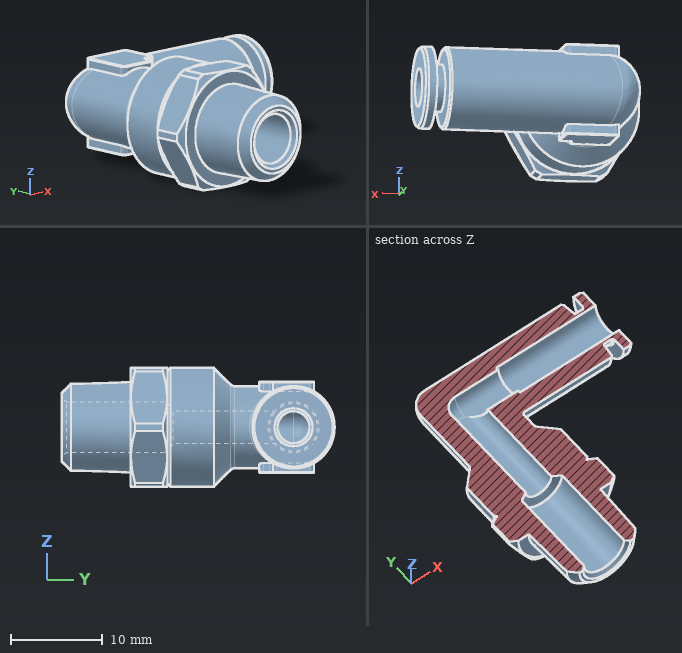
import math

import cadquery as cq


tube_diameter = 9.0
tube_radius = tube_diameter / 2
outer_corner_radius = 2.35
inner_corner_radius = 0.3

pad_half_height = 5.0
pad_outer_reach = 2.25
pad_inner_reach = 3.75
pad_notch_offset = 2.25
pad_corner_radius = 0.45
pad_notch_radius = 0.35
pad_edge_chamfer = 0.1

stem_bottom = -25.3
thread_stub_length = 7.5
hex_bottom = stem_bottom + thread_stub_length
hex_height = 4.05
hex_top = hex_bottom + hex_height
body_diameter = 13.0
body_radius = body_diameter / 2
body_edge_chamfer = 0.3
body_shoulder = -8.7
shoulder_fillet = 0.58
shoulder_angle = math.radians(45)

hex_across_flats = 13.0
hex_corner_diameter = 14.54
hex_face_diameter = 12.8
hex_chamfer_angle = math.radians(30)
hex_half_corner_angle = math.radians(30)

thread_top_diameter = 9.93
thread_taper = 1 / 16
thread_end_chamfer = 1.0

arm_edge = 16.98
arm_edge_chamfer = 0.22
arm_neck_start = 17.2
neck_diameter = 5.2
collar_diameter = 9.0
neck_end_chamfer = 0.17
collar_back = 18.45
collar_end = 19.68
collar_end_chamfer_length = 0.33
collar_end_chamfer_depth = 0.22

bore_diameter = 3.5
stem_bore_diameter = 5.5
stem_bore_end = hex_top
stem_bore_mouth_chamfer = 0.5
bore_step_half_angle = math.radians(59)
tube_socket_diameter = 4.15
tube_socket_start = 6.0


def turned_about_y(points):
    """Revolve an outline of (radius, y) points about the Y axis."""
    outline = cq.Workplane("XY").polyline(points).close()
    return outline.revolve(360, (0, 0, 0), (0, 1, 0))


def turned_about_x(points):
    """Revolve an outline of (x, radius) points about the X axis."""
    outline = cq.Workplane("XY").polyline(points).close()
    return outline.revolve(360, (0, 0, 0), (1, 0, 0))


def make_pad_block():
    """One block through the elbow whose two ends form the raised pads."""
    outline = [
        (-pad_outer_reach, pad_outer_reach),
        (pad_inner_reach, pad_outer_reach),
        (pad_inner_reach, -pad_notch_offset),
        (pad_notch_offset, -pad_notch_offset),
        (pad_notch_offset, -pad_inner_reach),
        (-pad_outer_reach, -pad_inner_reach),
    ]
    block = cq.Workplane("XY").polyline(outline).close().extrude(pad_half_height, both=True)
    notch_corner = (pad_notch_offset, -pad_notch_offset)
    for x, y in outline:
        radius = pad_notch_radius if (x, y) == notch_corner else pad_corner_radius
        upright_edge = cq.selectors.NearestToPointSelector((x, y, 0))
        block = block.edges(upright_edge).fillet(radius)
    return block.faces("<Z or >Z").chamfer(pad_edge_chamfer)


def make_elbow():
    """Mitred round tube with rounded corners and the two pads."""
    arm_length = arm_edge - arm_edge_chamfer
    path = cq.Workplane("XY").polyline([(0, body_shoulder), (0, 0), (arm_length, 0)])
    section = cq.Workplane("XZ", origin=(0, body_shoulder, 0)).circle(tube_radius)
    elbow = section.sweep(path, transition="right")
    elbow = elbow.union(make_pad_block())
    outer_edge = cq.selectors.NearestToPointSelector((-tube_radius, tube_radius, 0))
    elbow = elbow.edges(outer_edge).fillet(outer_corner_radius)
    elbow = elbow.edges("%ELLIPSE").fillet(inner_corner_radius)
    return elbow


def make_body():
    """Round swivel body with a 45 degree shoulder blended into the elbow tube."""
    shoulder_top = body_shoulder + (body_radius - tube_radius) / math.tan(shoulder_angle)
    tangent_length = shoulder_fillet * math.tan(shoulder_angle / 2)
    tangent_drop = tangent_length * math.cos(shoulder_angle)
    blend_start = (tube_radius, shoulder_top + tangent_length)
    blend_end = (tube_radius + tangent_drop, shoulder_top - tangent_drop)
    blend_center_radius = tube_radius + shoulder_fillet
    blend_middle = (
        blend_center_radius - shoulder_fillet * math.cos(shoulder_angle / 2),
        blend_start[1] - shoulder_fillet * math.sin(shoulder_angle / 2),
    )
    outline = (
        cq.Workplane("XY")
        .moveTo(0, blend_start[1])
        .lineTo(*blend_start)
        .threePointArc(blend_middle, blend_end)
        .lineTo(body_radius, body_shoulder)
        .lineTo(body_radius, hex_top + body_edge_chamfer)
        .lineTo(body_radius - body_edge_chamfer, hex_top)
        .lineTo(0, hex_top)
        .close()
    )
    return outline.revolve(360, (0, 0, 0), (0, 1, 0))


def make_hex():
    """Hexagon with rounded corners, chamfered at 30 degrees on both ends."""
    corner_to_corner = hex_across_flats / math.cos(hex_half_corner_angle)
    prism = cq.Workplane("XZ", origin=(0, hex_top, 0)).polygon(6, corner_to_corner).extrude(hex_height)
    face_radius = hex_face_diameter / 2
    corner_radius = hex_corner_diameter / 2
    chamfer_drop = (corner_radius - face_radius) * math.tan(hex_chamfer_angle)
    envelope = turned_about_y([
        (0, hex_top),
        (face_radius, hex_top),
        (corner_radius, hex_top - chamfer_drop),
        (corner_radius, hex_bottom + chamfer_drop),
        (face_radius, hex_bottom),
        (0, hex_bottom),
    ])
    return prism.intersect(envelope)


def make_thread_stub():
    """Plain tapered stub of the pipe thread with a chamfered end."""
    top_radius = thread_top_diameter / 2
    chamfer_start = stem_bottom + thread_end_chamfer
    bottom_radius = top_radius - (hex_bottom - chamfer_start) * thread_taper / 2
    return turned_about_y([
        (0, hex_bottom),
        (top_radius, hex_bottom),
        (bottom_radius, chamfer_start),
        (bottom_radius - thread_end_chamfer, stem_bottom),
        (0, stem_bottom),
    ])


def make_arm_end():
    """Chamfered arm end, narrow neck and release collar."""
    neck_radius = neck_diameter / 2
    collar_radius = collar_diameter / 2
    return turned_about_x([
        (arm_edge - arm_edge_chamfer, 0),
        (arm_edge - arm_edge_chamfer, tube_radius),
        (arm_edge, tube_radius - arm_edge_chamfer),
        (arm_neck_start, neck_radius),
        (collar_back - neck_end_chamfer, neck_radius),
        (collar_back, neck_radius + neck_end_chamfer),
        (collar_back, collar_radius),
        (collar_end - collar_end_chamfer_length, collar_radius),
        (collar_end, collar_radius - collar_end_chamfer_depth),
        (collar_end, 0),
    ])


def make_passage():
    """Flow passage: stepped stem bore, round elbow bend, arm bore and tube socket."""
    bore_radius = bore_diameter / 2
    stem_radius = stem_bore_diameter / 2
    cone_length = (stem_radius - bore_radius) / math.tan(bore_step_half_angle)
    stem_bore = turned_about_y([
        (0, stem_bottom),
        (stem_radius + stem_bore_mouth_chamfer, stem_bottom),
        (stem_radius, stem_bottom + stem_bore_mouth_chamfer),
        (stem_radius, stem_bore_end),
        (bore_radius, stem_bore_end + cone_length),
        (bore_radius, 0),
        (0, 0),
    ])
    socket_radius = tube_socket_diameter / 2
    arm_bore = turned_about_x([
        (0, 0),
        (0, bore_radius),
        (tube_socket_start, bore_radius),
        (tube_socket_start, socket_radius),
        (collar_end, socket_radius),
        (collar_end, 0),
    ])
    bend = cq.Workplane("XY").sphere(bore_radius)
    return stem_bore.union(arm_bore).union(bend)


fitting = make_elbow()
for feature in (make_body(), make_hex(), make_thread_stub(), make_arm_end()):
    fitting = fitting.union(feature)
result = fitting.cut(make_passage())